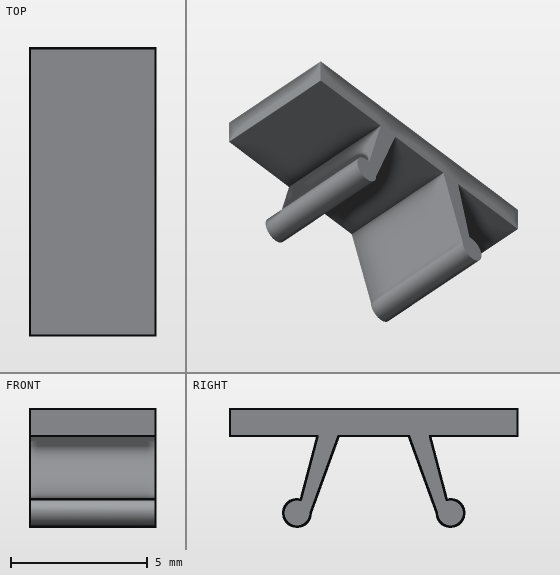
import cadquery as cq

width = 4.6
length = 10.5
height = 4.3
plate_thickness = 1.0

bead_radius = 0.5
bead_offset = 2.8
bead_z = bead_radius - height
root_inner = 1.28
root_outer = 2.06
tip_inner = bead_offset - bead_radius
tip_outer = 2.67
tip_outer_z = -3.31


def make_plate():
    return cq.Workplane("XY").box(width, length, plate_thickness, centered=(True, True, False)).translate(
        (0, 0, -plate_thickness)
    )


def make_leg(side):
    """Leg and bead running the full width; side is +1 or -1 along Y."""
    profile_plane = cq.Workplane("YZ", origin=(-width / 2, 0, 0))
    web = (
        profile_plane.moveTo(side * root_inner, -plate_thickness)
        .lineTo(side * root_outer, -plate_thickness)
        .lineTo(side * tip_outer, tip_outer_z)
        .lineTo(side * bead_offset, bead_z)
        .lineTo(side * tip_inner, bead_z)
        .close()
        .extrude(width)
    )
    bead = profile_plane.center(side * bead_offset, bead_z).circle(bead_radius).extrude(width)
    return web.union(bead)


result = make_plate()
for side in (-1, 1):
    result = result.union(make_leg(side))